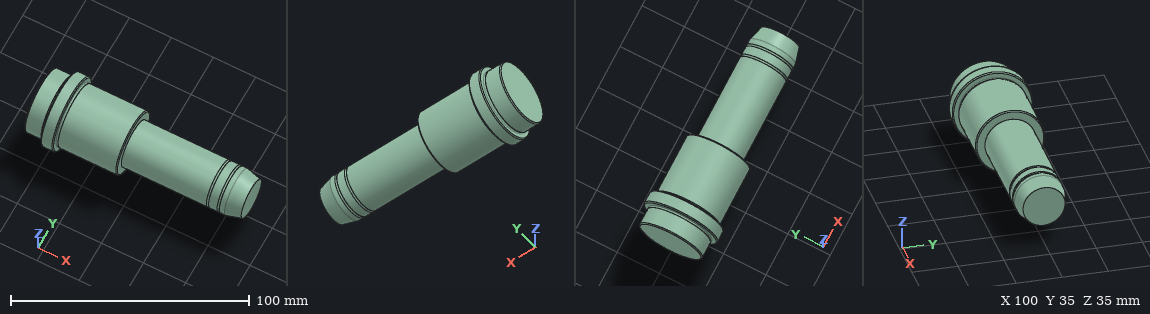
import cadquery as cq
import math

total_length = 100.0
head_diameter = 30.0
flange_diameter = 35.0
pin_diameter = 22.0

flange_start = 9.0
flange_end = 15.0
head_end = 44.0

tip_length = 7.0
tip_angle = 15.0

edge_chamfer = 0.5

relief_width = 1.0
relief_depth = 0.5

ring_groove_starts = (84.4, 89.5)
ring_groove_width = 1.0
ring_groove_depth = 0.5


def cylinder(start, end, diameter):
    """Solid cylinder along X between two positions."""
    return cq.Workplane("YZ", origin=(start, 0, 0)).circle(diameter / 2).extrude(end - start)


def groove(start, width, diameter, depth):
    """Round-bottomed ring of material to remove from a cylinder."""
    radius = diameter / 2
    profile = (
        cq.Workplane("XY")
        .moveTo(start, radius)
        .threePointArc((start + width / 2, radius - depth), (start + width, radius))
        .lineTo(start + width, radius + depth)
        .lineTo(start, radius + depth)
        .close()
    )
    return profile.revolve(360, (0, 0, 0), (1, 0, 0))


head = cylinder(0, head_end, head_diameter).edges().chamfer(edge_chamfer)
for relief_start in (flange_start - relief_width, flange_end):
    head = head.cut(groove(relief_start, relief_width, head_diameter, relief_depth))

flange = cylinder(flange_start, flange_end, flange_diameter).edges().chamfer(edge_chamfer)

tip_inset = tip_length * math.tan(math.radians(tip_angle))
pin = cylinder(head_end, total_length, pin_diameter)
pin = pin.faces(">X").edges().chamfer(tip_length, tip_inset)
for groove_start in ring_groove_starts:
    pin = pin.cut(groove(groove_start, ring_groove_width, pin_diameter, ring_groove_depth))

result = head.union(flange).union(pin)